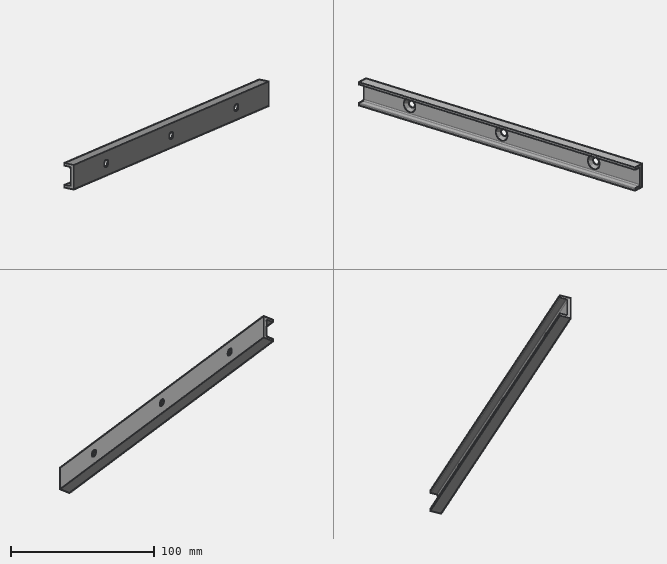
import cadquery as cq

RAIL_DEPTH = 8.25
RAIL_LENGTH = 240.0
RAIL_HEIGHT = 18.0

WEB_THICKNESS = 2.75
FLANGE_THICKNESS = 2.0
ROOT_RADIUS = 1.0
TIP_RADIUS = 0.3

HOLE_COUNT = 3
HOLE_PITCH = RAIL_LENGTH / HOLE_COUNT
HOLE_DIAMETER = 5.0
SINK_DIAMETER = 10.2
SINK_ANGLE = 90.0

WEB_INNER_X = RAIL_DEPTH / 2 - WEB_THICKNESS
CHANNEL_HEIGHT = RAIL_HEIGHT - 2 * FLANGE_THICKNESS


def make_channel():
    """Plain C-section, centred on the origin and running along Y."""
    bar = cq.Workplane("XY").box(RAIL_DEPTH, RAIL_LENGTH, RAIL_HEIGHT)
    opening_depth = RAIL_DEPTH - WEB_THICKNESS
    opening = (
        cq.Workplane("XY")
        .box(opening_depth, RAIL_LENGTH, CHANNEL_HEIGHT)
        .translate((WEB_INNER_X - opening_depth / 2, 0, 0))
    )
    return bar.cut(opening)


def round_inner_edges(channel, edge_x, radius):
    """Round the two lengthwise edges of the opening that lie at edge_x."""
    edges = channel.edges("|Y").filter(
        lambda edge: abs(edge.Center().x - edge_x) < radius / 2
        and abs(edge.Center().z) < RAIL_HEIGHT / 2 - radius
    )
    return edges.fillet(radius)


def drill_mounting_holes(channel):
    """Countersunk holes entered from inside the channel."""
    inner_face_plane = cq.Plane(origin=(WEB_INNER_X, 0, 0), xDir=(0, 1, 0), normal=(-1, 0, 0))
    return (
        channel.copyWorkplane(cq.Workplane(inner_face_plane))
        .rarray(HOLE_PITCH, 1, HOLE_COUNT, 1)
        .cskHole(HOLE_DIAMETER, SINK_DIAMETER, SINK_ANGLE)
    )


rail = make_channel()
rail = round_inner_edges(rail, WEB_INNER_X, ROOT_RADIUS)
rail = round_inner_edges(rail, -RAIL_DEPTH / 2, TIP_RADIUS)
result = drill_mounting_holes(rail)